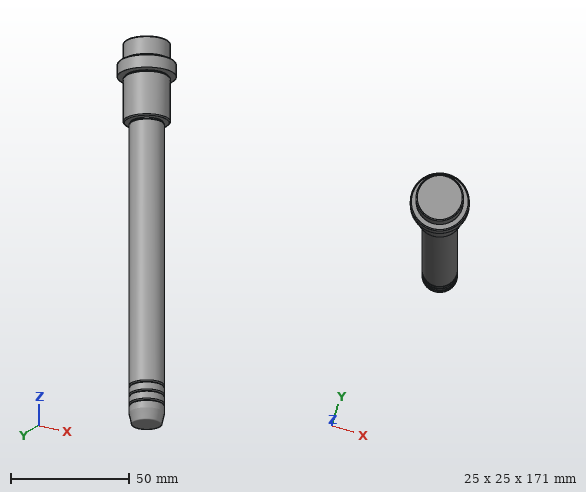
import cadquery as cq

total_length = 171.0
collar_diameter = 25.0
head_diameter = 20.0
shank_diameter = 15.0
tip_diameter = 12.8

collar_top_depth = 9.0
collar_bottom_depth = 15.0
shoulder_depth = 35.5

undercut_width = 0.5
undercut_depth = 0.9
edge_chamfer = 0.5

taper_length = 5.0
tip_round = 0.5
groove_half_width = 0.5
groove_depth = 0.5
groove_count = 3
groove_pitch = 4.1
first_groove_height = 8.7


def cylinder(diameter, bottom, top):
    return cq.Workplane("XY").workplane(offset=bottom).circle(diameter / 2).extrude(top - bottom)


def vee_groove(diameter, height):
    """Ring of triangular section that points inward from the surface of a cylinder."""
    radius = diameter / 2
    return (
        cq.Workplane("XZ")
        .moveTo(radius, height - groove_half_width)
        .lineTo(radius - groove_depth, height)
        .lineTo(radius, height + groove_half_width)
        .close()
        .revolve(360, (0, 0, 0), (0, 1, 0))
    )


collar_top = total_length - collar_top_depth
collar_bottom = total_length - collar_bottom_depth
shoulder = total_length - shoulder_depth
neck_diameter = head_diameter - 2 * undercut_depth

shank = cylinder(shank_diameter, taper_length, shoulder - undercut_width)
for index in range(groove_count):
    center = first_groove_height + index * groove_pitch
    shank = shank.cut(vee_groove(shank_diameter, center))
shank = shank.faces(">Z").chamfer(edge_chamfer)

tip = (
    cq.Workplane("XY")
    .circle(tip_diameter / 2)
    .workplane(offset=taper_length)
    .circle(shank_diameter / 2)
    .loft(ruled=True)
    .faces("<Z")
    .edges()
    .fillet(tip_round)
)

relief = cylinder(shank_diameter - 2 * edge_chamfer, shoulder - undercut_width, shoulder)

guide_body = cylinder(head_diameter, shoulder, collar_bottom - undercut_width)
guide_body = guide_body.faces("<Z or >Z").chamfer(edge_chamfer)
collar = cylinder(collar_diameter, collar_bottom, collar_top).faces(">Z").chamfer(edge_chamfer)
head = cylinder(head_diameter, collar_top + undercut_width, total_length)
head = head.faces("<Z or >Z").chamfer(edge_chamfer)
lower_neck = cylinder(neck_diameter, collar_bottom - undercut_width, collar_bottom)
upper_neck = cylinder(neck_diameter, collar_top, collar_top + undercut_width)

result = tip
for section in (shank, relief, guide_body, lower_neck, collar, upper_neck, head):
    result = result.union(section)